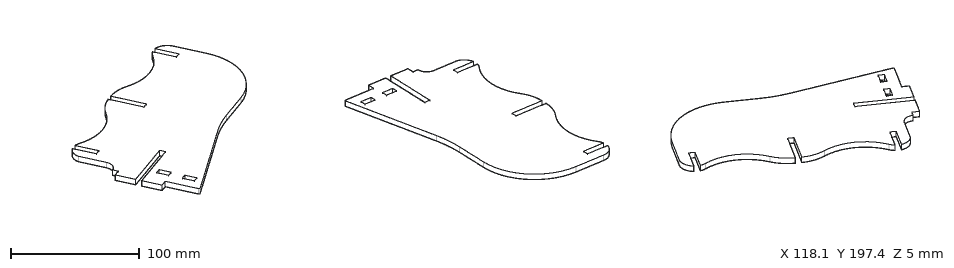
import cadquery as cq
import math

THICKNESS = 5.0
TOTAL_LENGTH = 197.42
MAX_X = 118.14

TOP_Y = 91.42
BOTTOM_Y = TOP_Y - TOTAL_LENGTH
FOOT_DROP = 6.2
SHOULDER_Y = BOTTOM_Y + FOOT_DROP
LEFT_BASE_Y = -91.1

SLOT_WIDTH = 5.0
SIDE_SLOT_OFFSET = 79.6
SIDE_SLOT_END_X = 23.7
CENTRE_SLOT_END_X = 30.1
FOOT_SLOT_END_Y = -58.2

SCALLOP_X = -30.2
SCALLOP_OFFSET = 46.75
SCALLOP_RADIUS = 44.1
TIP_RADIUS = TOP_Y - SIDE_SLOT_OFFSET

BACK_X = 93.8
SHOULDER_RADIUS = 51.0
FLARE_RADIUS = 100.0
FLARE_SLOPE = 0.25
FLARE_ANGLE = math.atan(FLARE_SLOPE)
TOE_RADIUS = 1.0

FOOT_CENTRE_X = 69.4
FOOT_WIDTH = 39.5
NOTCH_X = 44.7
NOTCH_RADIUS = LEFT_BASE_Y - SHOULDER_Y

WINDOW_LENGTH = 10.2
WINDOW_WIDTH = 5.0
WINDOW_CENTRES_X = (83.0, 104.6)
WINDOW_Y = -87.8


def on_circle(centre, radius, angle):
    """Point of a circle at an angle in radians from +X."""
    return (centre[0] + radius * math.cos(angle), centre[1] + radius * math.sin(angle))


def mirrored(point):
    """Point reflected across the centre line Y = 0."""
    return (point[0], -point[1])


def tip_centre():
    """Centre of the upper tip circle, level with its slot and tangent to the scallop."""
    rise = SIDE_SLOT_OFFSET - SCALLOP_OFFSET
    run = math.sqrt((SCALLOP_RADIUS + TIP_RADIUS) ** 2 - rise ** 2)
    return (SCALLOP_X + run, SIDE_SLOT_OFFSET)


def bulge_radius():
    """Radius of the arc that leaves the centre slot upright at X = 0, tangent to the scallop."""
    rise = SCALLOP_OFFSET - SLOT_WIDTH / 2
    return (SCALLOP_X ** 2 + rise ** 2 - SCALLOP_RADIUS ** 2) / (2 * (SCALLOP_RADIUS + SCALLOP_X))


def outline():
    """Closed outline of the plate before slots and windows are cut."""
    scallop = (SCALLOP_X, SCALLOP_OFFSET)
    scallop_crest = (SCALLOP_X + SCALLOP_RADIUS, SCALLOP_OFFSET)
    tip = tip_centre()
    tip_left = (tip[0] - TIP_RADIUS, tip[1])
    tip_angle = math.atan2(tip[1] - scallop[1], tip[0] - scallop[0])
    tip_joint = on_circle(scallop, SCALLOP_RADIUS, tip_angle)

    radius = bulge_radius()
    bulge = (radius, SLOT_WIDTH / 2)
    bulge_angle = math.atan2(scallop[1] - bulge[1], scallop[0] - bulge[0])
    bulge_joint = on_circle(bulge, radius, bulge_angle)
    bulge_middle = on_circle(bulge, radius, (bulge_angle + math.pi) / 2)
    bulge_start = (0, SLOT_WIDTH / 2)

    base_depth = -LEFT_BASE_Y - SIDE_SLOT_OFFSET
    base_start = (tip[0] - math.sqrt(TIP_RADIUS ** 2 - base_depth ** 2), LEFT_BASE_Y)

    top_corner = (BACK_X - SHOULDER_RADIUS, TOP_Y - SHOULDER_RADIUS)
    bend_tangent = FLARE_RADIUS * math.tan(FLARE_ANGLE / 2)
    toe_tangent = TOE_RADIUS / math.tan(math.pi / 4 - FLARE_ANGLE / 2)
    toe_x = MAX_X - TOE_RADIUS + toe_tangent
    toe_flare = (toe_x - toe_tangent * math.sin(FLARE_ANGLE),
                 SHOULDER_Y + toe_tangent * math.cos(FLARE_ANGLE))
    toe_centre = (toe_x - toe_tangent, SHOULDER_Y + TOE_RADIUS)
    bend_y = SHOULDER_Y + (toe_x - BACK_X) / FLARE_SLOPE
    bend_centre = (BACK_X + FLARE_RADIUS, bend_y + bend_tangent)

    foot_left = FOOT_CENTRE_X - FOOT_WIDTH / 2
    foot_right = FOOT_CENTRE_X + FOOT_WIDTH / 2
    notch_centre = (NOTCH_X - NOTCH_RADIUS, SHOULDER_Y)

    return (
        cq.Workplane("XY")
        .moveTo(*base_start)
        .threePointArc(mirrored(tip_left), mirrored(tip_joint))
        .threePointArc(mirrored(scallop_crest), mirrored(bulge_joint))
        .threePointArc(mirrored(bulge_middle), mirrored(bulge_start))
        .lineTo(*bulge_start)
        .threePointArc(bulge_middle, bulge_joint)
        .threePointArc(scallop_crest, tip_joint)
        .threePointArc(tip_left, (tip[0], TOP_Y))
        .lineTo(top_corner[0], TOP_Y)
        .threePointArc(on_circle(top_corner, SHOULDER_RADIUS, math.pi / 4), (BACK_X, top_corner[1]))
        .lineTo(BACK_X, bend_centre[1])
        .threePointArc(
            on_circle(bend_centre, FLARE_RADIUS, math.pi + FLARE_ANGLE / 2),
            on_circle(bend_centre, FLARE_RADIUS, math.pi + FLARE_ANGLE),
        )
        .lineTo(*toe_flare)
        .threePointArc(on_circle(toe_centre, TOE_RADIUS, 0), (toe_centre[0], SHOULDER_Y))
        .lineTo(foot_right, SHOULDER_Y)
        .lineTo(foot_right, BOTTOM_Y)
        .lineTo(foot_left, BOTTOM_Y)
        .lineTo(foot_left, SHOULDER_Y)
        .lineTo(NOTCH_X, SHOULDER_Y)
        .threePointArc(
            on_circle(notch_centre, NOTCH_RADIUS, math.pi / 4),
            (notch_centre[0], LEFT_BASE_Y),
        )
        .close()
    )


def block(x_min, x_max, y_min, y_max):
    """Cutting block through the full thickness."""
    size = (x_max - x_min, y_max - y_min, THICKNESS)
    return cq.Workplane("XY").box(*size, centered=False).translate((x_min, y_min, 0))


def side_slot(y, end_x):
    """Slot running in from the left side."""
    return block(0, end_x, y - SLOT_WIDTH / 2, y + SLOT_WIDTH / 2)


def foot_slot():
    """Long slot running up from the middle of the foot."""
    half = SLOT_WIDTH / 2
    return block(FOOT_CENTRE_X - half, FOOT_CENTRE_X + half, BOTTOM_Y, FOOT_SLOT_END_Y)


def window(x):
    """Rectangular through window near the toe."""
    half_length = WINDOW_LENGTH / 2
    half_width = WINDOW_WIDTH / 2
    return block(x - half_length, x + half_length, WINDOW_Y - half_width, WINDOW_Y + half_width)


result = outline().extrude(THICKNESS)
for slot_y in (-SIDE_SLOT_OFFSET, SIDE_SLOT_OFFSET):
    result = result.cut(side_slot(slot_y, SIDE_SLOT_END_X))
result = result.cut(side_slot(0, CENTRE_SLOT_END_X))
result = result.cut(foot_slot())
for window_x in WINDOW_CENTRES_X:
    result = result.cut(window(window_x))